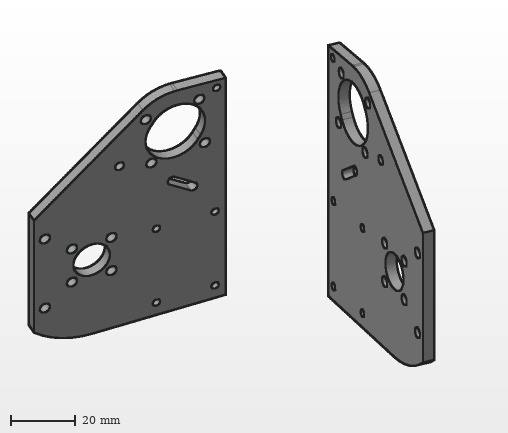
import cadquery as cq
import math

THICKNESS = 4.0
WIDTH = 65.5
HEIGHT = 88.8

SHAFT_Y = 19.7
SHAFT_Z = 30.1
SHAFT_DIAMETER = 12.4
SHAFT_SCREW_SPACING = 13.5

MOTOR_Y = 48.3
MOTOR_Z = 72.45
MOTOR_DIAMETER = 19.35
MOTOR_ELONGATION = 1.8
MOTOR_LENGTH = MOTOR_DIAMETER + MOTOR_ELONGATION
MOTOR_SLOT_ANGLE = 57.0
MOTOR_SCREW_SPACING = 18.4
MOTOR_SCREW_TILT = 6.0

BACK_HEIGHT = 88.2
FRONT_HEIGHT = 52.9
CREST_BACK_Y = 49.0
CREST_FRONT_Y = 48.1
CREST_RADIUS = 16.9
SLOPE_ANGLE = 40.4

SLOT_Y = 50.8
SLOT_Z = 50.25
SLOT_LENGTH = 11.5
SLOT_WIDTH = 3.0
SLOT_ANGLE = 34.0

SCREW_DIAMETER = 3.5
PIVOT_DIAMETER = 3.0
PIN_DIAMETER = 2.5
FRONT_SCREW_Y = 3.7
FRONT_SCREW_HEIGHTS = (16.1, 44.1)
PIVOT_POINT = (29.2, 64.8)
CORNER_PIN_POINT = (62.4, 85.1)
PIN_COLUMNS = (41.8, 61.9)
PIN_ROWS = (5.1, 35.1)


def crest_point(angle):
    """Point on the crest arc, turned from its top towards the front edge."""
    turn = math.radians(angle)
    return (
        CREST_FRONT_Y - CREST_RADIUS * math.sin(turn),
        HEIGHT - CREST_RADIUS * (1 - math.cos(turn)),
    )


def toe_point(y):
    """Point on the lower front arc, which is centred on the shaft and touches the base."""
    return (y, SHAFT_Z - math.sqrt(SHAFT_Z**2 - (SHAFT_Y - y) ** 2))


def square_points(center_y, center_z, spacing, tilt=0.0):
    """Corners of a square around a centre, tilted about X."""
    radius = spacing / math.sqrt(2)
    angles = [math.radians(tilt + 45 + 90 * corner) for corner in range(4)]
    return [
        (center_y + radius * math.cos(angle), center_z + radius * math.sin(angle))
        for angle in angles
    ]


def plate():
    return (
        cq.Workplane("YZ")
        .moveTo(WIDTH, 0)
        .lineTo(WIDTH, BACK_HEIGHT)
        .lineTo(CREST_BACK_Y, HEIGHT)
        .lineTo(CREST_FRONT_Y, HEIGHT)
        .threePointArc(crest_point(SLOPE_ANGLE / 2), crest_point(SLOPE_ANGLE))
        .lineTo(0, FRONT_HEIGHT)
        .lineTo(*toe_point(0))
        .threePointArc(toe_point(SHAFT_Y / 2), toe_point(SHAFT_Y))
        .close()
        .extrude(THICKNESS)
    )


def round_cutter(points, diameter):
    return cq.Workplane("YZ").pushPoints(points).circle(diameter / 2).extrude(THICKNESS)


def slot_cutter(y, z, length, width, angle):
    return cq.Workplane("YZ").center(y, z).slot2D(length, width, angle).extrude(THICKNESS)


screw_points = (
    square_points(SHAFT_Y, SHAFT_Z, SHAFT_SCREW_SPACING)
    + square_points(MOTOR_Y, MOTOR_Z, MOTOR_SCREW_SPACING, MOTOR_SCREW_TILT)
    + [(FRONT_SCREW_Y, z) for z in FRONT_SCREW_HEIGHTS]
)
pin_points = [(y, z) for y in PIN_COLUMNS for z in PIN_ROWS] + [CORNER_PIN_POINT]

result = (
    plate()
    .cut(round_cutter([(SHAFT_Y, SHAFT_Z)], SHAFT_DIAMETER))
    .cut(slot_cutter(MOTOR_Y, MOTOR_Z, MOTOR_LENGTH, MOTOR_DIAMETER, MOTOR_SLOT_ANGLE))
    .cut(slot_cutter(SLOT_Y, SLOT_Z, SLOT_LENGTH, SLOT_WIDTH, -SLOT_ANGLE))
    .cut(round_cutter(screw_points, SCREW_DIAMETER))
    .cut(round_cutter([PIVOT_POINT], PIVOT_DIAMETER))
    .cut(round_cutter(pin_points, PIN_DIAMETER))
)